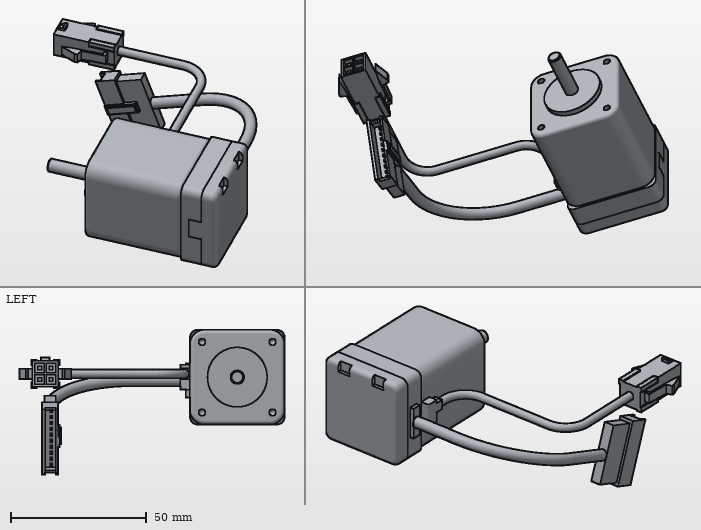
import cadquery as cq
import math


frame = 35.0
half_frame = frame / 2

motor_length = 38.0
motor_corner_radius = 5.5
motor_edge_radius = 1.5
pilot_diameter = 22.0
pilot_height = 2.0
mount_hole_pitch = 26.0
mount_hole_diameter = 2.5
mount_hole_depth = 4.0
drill_point_angle = 118.0

shaft_diameter = 5.0
shaft_length = 18.0
shaft_chamfer = 0.4

housing_length = 8.0
encoder_corner_radius = 3.0
cap_length = 6.0
cap_edge_radius = 2.0
cap_tab_width = 8.0
cap_tab_length = 4.8
cap_tab_thickness = 2.0
cap_pocket_width = 5.2
cap_pocket_offset = 8.0
cap_pocket_depth = 1.5
cap_pocket_height = 4.0

port_width = 3.6
port_length = 12.7
port_height = 1.6

motor_cable_diameter = 3.3
motor_cable_z = 1.25
motor_cable_bend = 10.0
motor_cable_run_x = 16.9
plug_width = 9.2
plug_height = 3.5
plug_length = 4.7
plug_neck_length = 3.3
plug_neck_width = 4.0
plug_edge_radius = 1.0

encoder_cable_diameter = 4.4
encoder_cable_x = 42.8
encoder_cable_z = -1.15
encoder_cable_slope = 20.0
encoder_cable_straight = 20.1
encoder_cable_bend = 29.8
encoder_cable_reach = 50.0

four_way_front = -42.28
four_way_rear = -18.4
four_way_y = 70.8
four_way_side = 9.7
rail_length = 10.0
rail_rise = 0.4
rail_width = 2.1
cell_pitch = 4.2
cell_side = 3.6
cell_depth = 8.0
contact_side = 1.4
contact_length = 7.0
lock_width = 3.2
lock_length = 2.6
lock_flat = 0.9
lock_height = 1.2
lock_setback = 0.6
latch_width = 3.9
latch_reach = 9.61

flat_offset = 0.62
mouth_length = 7.9
mouth_width = 25.6
mouth_thickness = 6.0
mouth_y_min = 66.1
shell_length = 10.3
shell_width = 23.2
shell_thickness = 4.2
front_wall = 0.8
slot_thickness = 4.0
slot_depth = 5.0
end_wall = 1.0
end_wall_setback = 2.0
pin_count = 10
pin_pitch = 2.34
pin_side = 0.7
pin_length = 1.0
pin_row_y = 68.55
key_length = 12.9
key_width = 4.0
key_height = 0.6
key_rib_start = 1.0
key_rib_length = 11.3
key_rib_width = 2.7
key_rib_height = 0.6

housing_rear = motor_length + housing_length
cap_rear = housing_rear + cap_length
port_top = half_frame + port_height
plug_cable_y = half_frame + plug_height - motor_cable_diameter / 2
plug_front = motor_length - plug_length
plug_neck_front = plug_front - plug_neck_length


def block(x_min, x_max, y_min, y_max, z_min, z_max):
    """Axis-aligned box between the given limits."""
    return cq.Workplane("XY").box(
        x_max - x_min, y_max - y_min, z_max - z_min, centered=False
    ).translate((x_min, y_min, z_min))


def frame_block(x_start, length, corner_radius):
    """Square block along X with its four long edges rounded."""
    blank = cq.Workplane("YZ", origin=(x_start, 0, 0)).rect(frame, frame).extrude(length)
    return blank.edges("|X").fillet(corner_radius)


def make_motor():
    body = frame_block(0, motor_length, motor_corner_radius)
    body = body.faces("<X or >X").edges().fillet(motor_edge_radius)
    pilot = cq.Workplane("YZ").circle(pilot_diameter / 2).extrude(-pilot_height)
    return body.union(pilot).cut(make_mount_holes())


def make_mount_holes():
    """Four blind drilled holes, each with a conical bottom."""
    radius = mount_hole_diameter / 2
    point_length = radius / math.tan(math.radians(drill_point_angle / 2))
    drill = (
        cq.Workplane("XY")
        .polyline([
            (0, 0),
            (0, radius),
            (mount_hole_depth, radius),
            (mount_hole_depth + point_length, 0),
        ])
        .close()
        .revolve(360, (0, 0, 0), (1, 0, 0))
    )
    holes = cq.Workplane("XY")
    for y_side in (-1, 1):
        for z_side in (-1, 1):
            place = (0, y_side * mount_hole_pitch / 2, z_side * mount_hole_pitch / 2)
            holes = holes.add(drill.translate(place))
    return holes.combine()


def make_shaft():
    rod = cq.Workplane("YZ", origin=(-pilot_height, 0, 0)).circle(shaft_diameter / 2).extrude(-shaft_length)
    return rod.faces("<X").chamfer(shaft_chamfer)


def make_cap_tab():
    """Tab of the cap that lies flush in a notch of the encoder housing."""
    return block(
        housing_rear - cap_tab_length, housing_rear,
        -half_frame, -half_frame + cap_tab_thickness,
        -cap_tab_width / 2, cap_tab_width / 2,
    )


def make_housing():
    body = frame_block(motor_length, housing_length, encoder_corner_radius)
    port = block(
        encoder_cable_x - port_width / 2, encoder_cable_x + port_width / 2,
        0, port_top,
        encoder_cable_z - port_length / 2, encoder_cable_z + port_length / 2,
    )
    return body.union(port).cut(make_cap_tab())


def make_cap():
    body = frame_block(housing_rear, cap_length, encoder_corner_radius)
    body = body.faces(">X").edges().fillet(cap_edge_radius)
    for side in (-1, 1):
        y_middle = side * cap_pocket_offset
        body = body.cut(block(
            cap_rear - cap_pocket_depth, cap_rear,
            y_middle - cap_pocket_width / 2, y_middle + cap_pocket_width / 2,
            half_frame - cap_pocket_height, half_frame,
        ))
    return body.union(make_cap_tab())


def make_plug():
    body = block(
        plug_front, motor_length,
        half_frame, half_frame + plug_height,
        -plug_width / 2, plug_width / 2,
    )
    body = body.edges("|Z and >X and >Y").fillet(plug_edge_radius)
    neck = block(
        plug_neck_front, plug_front,
        half_frame, half_frame + plug_height,
        motor_cable_z - plug_neck_width / 2, motor_cable_z + plug_neck_width / 2,
    )
    return body.union(neck)


def make_motor_cable():
    """Round cable that leaves the plug toward -X, turns to +Y and turns back to -X."""
    bend = motor_cable_bend
    diagonal = bend * math.sqrt(0.5)
    first_centre = (motor_cable_run_x + bend, plug_cable_y + bend)
    second_centre = (motor_cable_run_x - bend, four_way_y - bend)
    path = (
        cq.Workplane("XY", origin=(0, 0, motor_cable_z))
        .moveTo(plug_neck_front, plug_cable_y)
        .lineTo(first_centre[0], plug_cable_y)
        .threePointArc(
            (first_centre[0] - diagonal, first_centre[1] - diagonal),
            (motor_cable_run_x, first_centre[1]),
        )
        .lineTo(motor_cable_run_x, second_centre[1])
        .threePointArc(
            (second_centre[0] + diagonal, second_centre[1] + diagonal),
            (second_centre[0], four_way_y),
        )
        .lineTo(four_way_rear, four_way_y)
    )
    section = cq.Workplane("YZ", origin=(plug_neck_front, plug_cable_y, motor_cable_z))
    return section.circle(motor_cable_diameter / 2).sweep(path)


def make_latch():
    """Side latch on the +Y side of the connector, drawn relative to its axis."""
    half_body = four_way_side / 2
    outline = [
        (-21.1, half_body),
        (-21.1, 6.9),
        (-30.5, 7.3),
        (-31.2, latch_reach),
        (-32.4, latch_reach),
        (-38.3, 7.2),
        (-34.4, 6.7),
        (-22.4, 6.2),
        (-22.4, half_body),
    ]
    return cq.Workplane("XY").polyline(outline).close().extrude(latch_width / 2, both=True)


def make_four_way_connector():
    half_body = four_way_side / 2
    half_rail = half_body + rail_rise
    rail_front = four_way_rear - rail_length
    body = block(four_way_front, four_way_rear, -half_body, half_body, -half_body, half_body)

    rail = block(
        rail_front, four_way_rear,
        half_rail - rail_width, half_rail,
        half_rail - rail_width, half_rail,
    )
    for quarter in range(4):
        body = body.union(rail.rotate((0, 0, 0), (1, 0, 0), quarter * 90))

    wedge_start = four_way_front + lock_setback
    wedge_end = wedge_start + lock_length
    wedge = (
        cq.Workplane("XZ")
        .polyline([
            (wedge_start, half_body),
            (wedge_end - lock_flat, half_body + lock_height),
            (wedge_end, half_body + lock_height),
            (wedge_end, half_body),
        ])
        .close()
        .extrude(lock_width / 2, both=True)
    )
    body = body.union(wedge)

    latch = make_latch()
    body = body.union(latch).union(latch.mirror("XZ"))

    mating_face = cq.Workplane("YZ", origin=(four_way_front, 0, 0))
    cells = mating_face.rarray(cell_pitch, cell_pitch, 2, 2).rect(cell_side, cell_side).extrude(cell_depth)
    contacts = (
        mating_face.workplane(offset=cell_depth - contact_length)
        .rarray(cell_pitch, cell_pitch, 2, 2)
        .rect(contact_side, contact_side)
        .extrude(contact_length)
    )
    body = body.cut(cells.cut(contacts))
    return body.translate((0, four_way_y, motor_cable_z))


slope = math.radians(encoder_cable_slope)
along_slope = cq.Vector(math.cos(slope), 0, math.sin(slope))
across_slope = cq.Vector(-math.sin(slope), 0, math.cos(slope))
encoder_outlet = cq.Vector(encoder_cable_x, port_top, encoder_cable_z)
encoder_cable_end_y = port_top + encoder_cable_straight + encoder_cable_bend


def make_encoder_cable():
    """Round cable that leaves the outlet along +Y and bends once toward the flat connector."""
    bend = encoder_cable_bend
    diagonal = bend * math.sqrt(0.5)
    bend_end = encoder_cable_straight + bend
    path = (
        cq.Workplane(cq.Plane(encoder_outlet, along_slope, across_slope))
        .lineTo(0, encoder_cable_straight)
        .threePointArc(
            (diagonal - bend, encoder_cable_straight + diagonal),
            (-bend, bend_end),
        )
        .lineTo(-encoder_cable_reach, bend_end)
    )
    section = cq.Workplane(cq.Plane(encoder_outlet, along_slope, (0, 1, 0)))
    return section.circle(encoder_cable_diameter / 2).sweep(path)


def make_flat_connector():
    """Flat socket with a row of pins, modelled with its mouth at X = 0 and then tilted onto the cable."""
    half_mouth = mouth_width / 2
    mouth_y_max = mouth_y_min + mouth_thickness
    slot_y_min = mouth_y_min + front_wall
    slot_y_max = slot_y_min + slot_thickness
    shell_end = mouth_length + shell_length

    body = block(0, mouth_length, mouth_y_min, mouth_y_max, -half_mouth, half_mouth)
    shell = block(
        mouth_length, shell_end,
        slot_y_min, slot_y_min + shell_thickness,
        -shell_width / 2, shell_width / 2,
    )
    body = body.union(shell)

    half_slot = half_mouth - end_wall
    body = body.cut(block(0, slot_depth, slot_y_min, slot_y_max, -half_slot, half_slot))
    body = body.cut(block(0, end_wall_setback, slot_y_min, slot_y_max, -half_mouth, half_mouth))

    pins = (
        cq.Workplane("YZ", origin=(slot_depth - pin_length, pin_row_y, 0))
        .rarray(1, pin_pitch, 1, pin_count)
        .rect(pin_side, pin_side)
        .extrude(pin_length)
    )
    body = body.union(pins)

    key_top = mouth_y_min - key_height
    rib_end = key_rib_start + key_rib_length
    key = block(0, key_length, key_top, slot_y_min, -key_width / 2, key_width / 2)
    rib = block(
        key_rib_start, rib_end,
        key_top - key_rib_height, key_top,
        -key_rib_width / 2, key_rib_width / 2,
    )
    body = body.union(key.cut(block(0, slot_depth, mouth_y_min, slot_y_min, -half_mouth, half_mouth)))
    body = body.union(rib)

    body = body.translate((-encoder_cable_reach - shell_end, 0, flat_offset))
    body = body.rotate((0, 0, 0), (0, 1, 0), -encoder_cable_slope)
    return body.translate((encoder_cable_x, 0, encoder_cable_z))


motor = make_motor()
shaft = make_shaft()
encoder_housing = make_housing()
encoder_cap = make_cap()
motor_plug = make_plug()
motor_cable = make_motor_cable()
four_way_connector = make_four_way_connector()
encoder_cable = make_encoder_cable()
flat_connector = make_flat_connector()

result = cq.Compound.makeCompound([
    motor.val(),
    shaft.val(),
    encoder_housing.val(),
    encoder_cap.val(),
    motor_plug.val(),
    motor_cable.val(),
    four_way_connector.val(),
    encoder_cable.val(),
    flat_connector.val(),
])